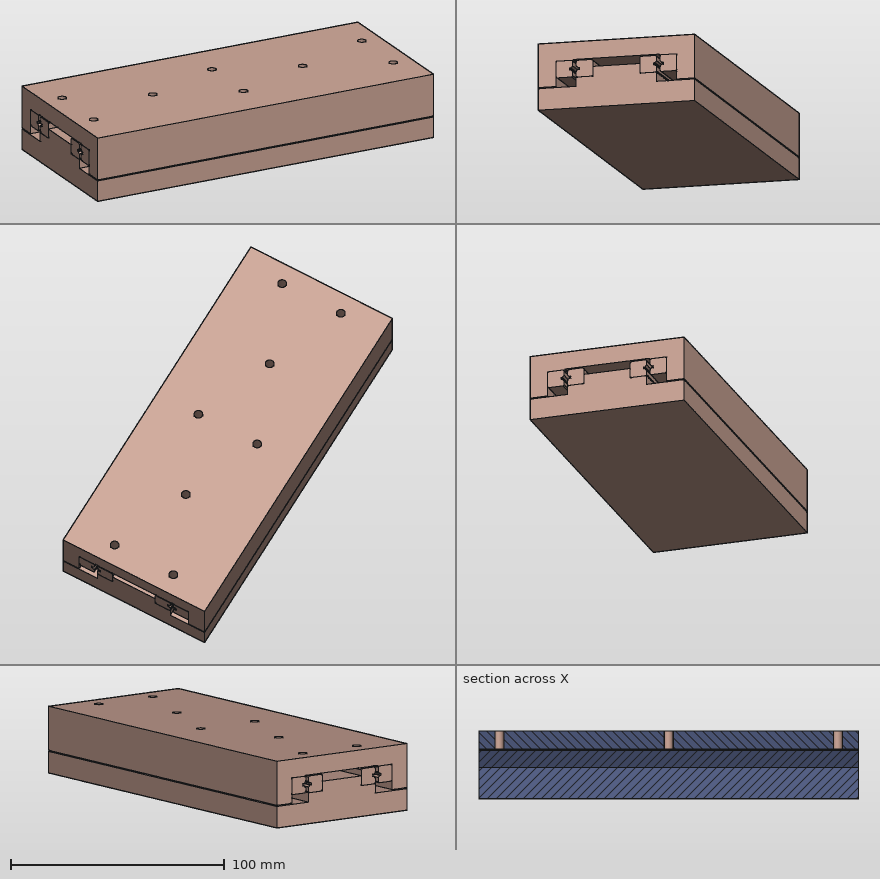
import cadquery as cq

length = 177.8
width = 76.3
height = 31.8

shoulder_height = 10.3
pedestal_height = 19.4

running_gap = 0.5
leg_width = 8.7
ceiling_height = 23.3
channel_half_width = 20.8

rail_width = 8.2
groove_height = 18.8
seat_distance = 4.1
free_distance = 4.0
rail_gap = 1.6
rail_chamfer = 0.5
groove_half_mouth = 1.33
slit_half_width = 0.45
slit_depth = 1.6

hole_diameter = 4.1
hole_column = 15.8
hole_pitch = 39.7
paired_rows = (-2, 0, 2)
single_rows = (-1, 1)

half_width = width / 2
rail_height = seat_distance + free_distance
base_ledge = groove_height - seat_distance
carriage_seat = groove_height + seat_distance
leg_inside = half_width - leg_width
outer_face = leg_inside - rail_width
inner_face = outer_face - rail_gap
pedestal_half_width = inner_face - rail_width
leg_bottom = shoulder_height + running_gap


def extrude_along_slide(points):
    """Extrude a closed XZ outline over the full length, centred on Y = 0."""
    return cq.Workplane("XZ").polyline(points).close().extrude(length / 2, both=True)


def mirrored_outline(right_half):
    """Complete an outline given as its +X half by mirroring it about X = 0."""
    return right_half + [(-x, z) for x, z in reversed(right_half)]


def make_base():
    """Stepped bed: flanges, a ledge that carries each inner rail, and a central pedestal."""
    return extrude_along_slide(mirrored_outline([
        (half_width, 0),
        (half_width, shoulder_height),
        (inner_face, shoulder_height),
        (inner_face, base_ledge),
        (pedestal_half_width, base_ledge),
        (pedestal_half_width, pedestal_height),
    ]))


def make_carriage():
    """Inverted channel with rail seats in its inside corners and screw holes through its top."""
    body = extrude_along_slide(mirrored_outline([
        (half_width, height),
        (half_width, leg_bottom),
        (leg_inside, leg_bottom),
        (leg_inside, carriage_seat),
        (channel_half_width, carriage_seat),
        (channel_half_width, ceiling_height),
    ]))
    paired_holes = [(side * hole_column, row * hole_pitch) for row in paired_rows for side in (-1, 1)]
    centre_holes = [(0, row * hole_pitch) for row in single_rows]
    holes = (
        cq.Workplane("XY", origin=(0, 0, ceiling_height))
        .pushPoints(paired_holes + centre_holes)
        .circle(hole_diameter / 2)
        .extrude(height - ceiling_height)
    )
    return body.cut(holes)


def make_rail(face_x, groove_direction, bottom):
    """Chamfered rail whose V groove opens at X = face_x, toward +X or -X by groove_direction."""
    centre_x = face_x - groove_direction * rail_width / 2
    bar = (
        cq.Workplane("XY", origin=(centre_x, 0, bottom))
        .box(rail_width, length, rail_height, centered=(True, True, False))
        .edges("|Y")
        .chamfer(rail_chamfer)
    )
    slit_start_x = face_x - groove_direction * (groove_half_mouth - slit_half_width)
    slit_end_x = face_x - groove_direction * slit_depth
    groove = extrude_along_slide([
        (face_x, groove_height + groove_half_mouth),
        (slit_start_x, groove_height + slit_half_width),
        (slit_end_x, groove_height + slit_half_width),
        (slit_end_x, groove_height - slit_half_width),
        (slit_start_x, groove_height - slit_half_width),
        (face_x, groove_height - groove_half_mouth),
    ])
    return bar.cut(groove)


base = make_base()
carriage = make_carriage()
rails = []
for side in (-1, 1):
    inner_rail = make_rail(side * inner_face, side, base_ledge)
    outer_rail = make_rail(side * outer_face, -side, groove_height - free_distance)
    rails += [inner_rail.val(), outer_rail.val()]

result = cq.Compound.makeCompound([base.val(), carriage.val(), *rails])